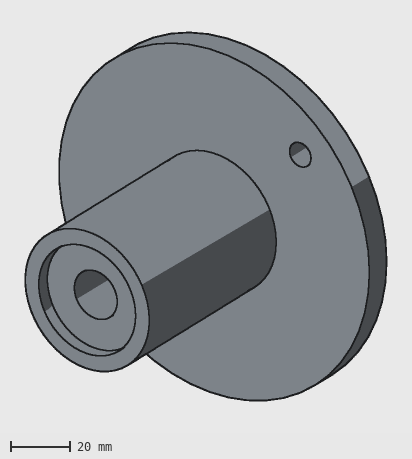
import cadquery as cq
import math

flange_diameter = 130.0
flange_thickness = 10.0

hub_diameter = 52.0
total_length = 83.0

bore_diameter = 17.9
recess_diameter = 40.5
recess_depth = 5.0

mounting_hole_diameter = 9.0
mounting_circle_diameter = 102.0
mounting_angles = (45, 225)


def cylinder(diameter, length, start=0.0, x=0.0, z=0.0):
    """Cylinder along -Y, beginning at a distance `start` from the back face."""
    return (
        cq.Workplane("XZ", origin=(0, -start, 0))
        .center(x, z)
        .circle(diameter / 2)
        .extrude(length)
    )


flange = cylinder(flange_diameter, flange_thickness)
hub = cylinder(hub_diameter, total_length)
bore = cylinder(bore_diameter, total_length)
recess = cylinder(recess_diameter, recess_depth, start=total_length - recess_depth)

result = flange.union(hub).cut(bore).cut(recess)

for angle in mounting_angles:
    hole_x = mounting_circle_diameter / 2 * math.cos(math.radians(angle))
    hole_z = mounting_circle_diameter / 2 * math.sin(math.radians(angle))
    result = result.cut(cylinder(mounting_hole_diameter, flange_thickness, x=hole_x, z=hole_z))